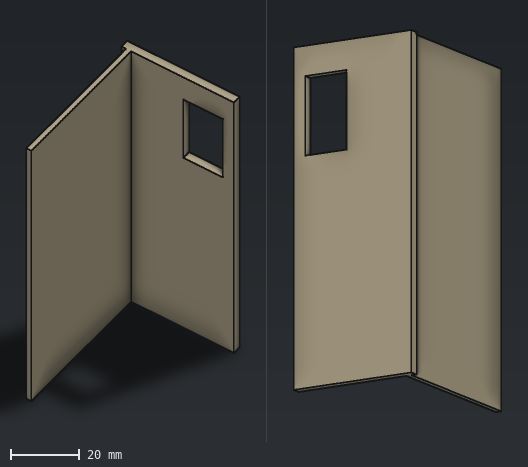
import cadquery as cq

width = 40.0
depth = 53.1
height = 102.6

plate_thickness = 3.0
window_width = 14.0
window_height = 23.8
window_right_margin = 4.0
window_top_margin = 9.1

web_thickness = 1.8
web_offset = 1.6


def box_at(x, y, z, size_x, size_y, size_z):
    """Box whose lowest corner is at (x, y, z)."""
    return cq.Workplane("XY").box(size_x, size_y, size_z, centered=False).translate((x, y, z))


plate_front = depth - plate_thickness
plate = box_at(0, plate_front, 0, width, plate_thickness, height)
web = box_at(web_offset, 0, 0, web_thickness, plate_front, height)

window = box_at(
    width - window_right_margin - window_width,
    plate_front,
    height - window_top_margin - window_height,
    window_width,
    plate_thickness,
    window_height,
)

result = plate.union(web).cut(window)